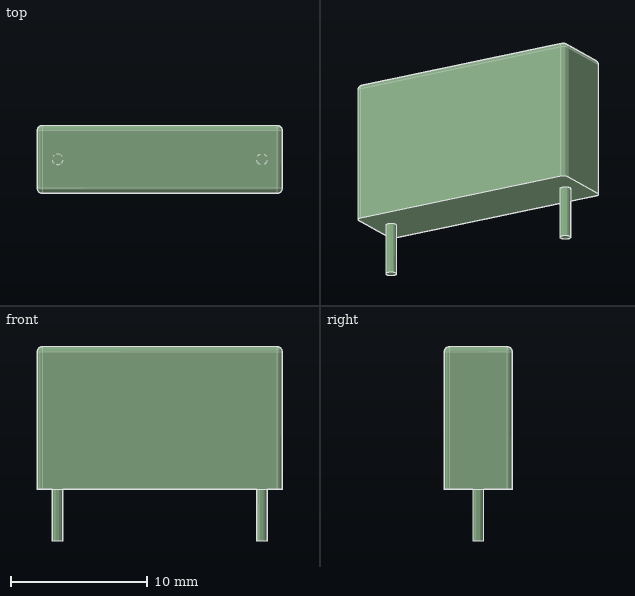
import cadquery as cq

housing_length = 18.0
housing_width = 5.0
housing_height = 10.5
edge_radius = 0.4

pin_diameter = 0.8
pin_length = 3.8
pin_spacing = 15.0


def make_housing():
    """Box standing on Z = 0, with every edge rounded except those of the bottom face."""
    box = cq.Workplane("XY").box(
        housing_length, housing_width, housing_height, centered=(True, True, False)
    )
    return box.edges("|Z or >Z").fillet(edge_radius)


def make_pin(x):
    """Vertical pin whose top end touches the underside of the housing."""
    return cq.Workplane("XY").center(x, 0).circle(pin_diameter / 2).extrude(-pin_length)


housing = make_housing()
pins = [make_pin(side * pin_spacing / 2) for side in (-1, 1)]

result = cq.Compound.makeCompound([housing.val(), *[pin.val() for pin in pins]])